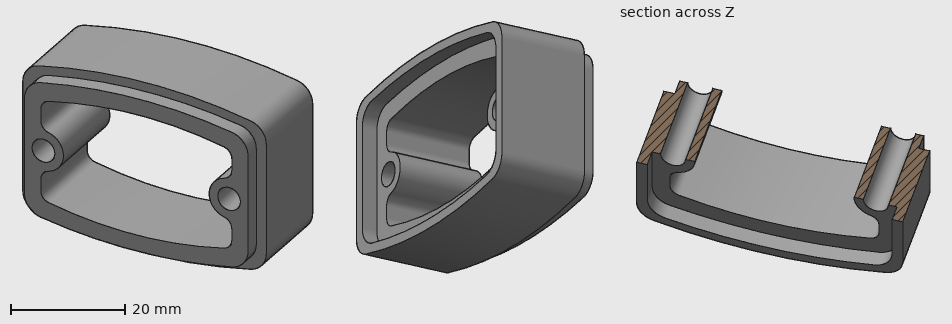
import cadquery as cq

body_width = 48.5
body_height = 33.95
body_depth = 16.98
lip_depth = 3.0
total_depth = body_depth + lip_depth
crown_radius = 101.85
corner_radius = 4.0

lip_inset = 2.0
lip_crown_inset = 1.8
window_side_inset = 5.25
window_crown_inset = 5.0
window_crown_radius = 80.5
window_corner_radius = 2.0

recess_depth = lip_depth

hole_spacing = 36.95
hole_diameter = 4.5
boss_radius = 4.0
boss_blend_radius = 2.0


def bowed_block(side_inset, crown_inset, arc_radius, edge_radius, depth):
    """Block along +Y from Y = 0: flat sides, arched top and bottom, rounded corners."""
    half_width = body_width / 2 - side_inset
    half_height = body_height / 2 - crown_inset
    sagitta = arc_radius - (arc_radius**2 - half_width**2) ** 0.5
    side_height = half_height - sagitta
    return (
        cq.Workplane("XZ")
        .moveTo(-half_width, -side_height)
        .lineTo(-half_width, side_height)
        .threePointArc((0, half_height), (half_width, side_height))
        .lineTo(half_width, -side_height)
        .threePointArc((0, -half_height), (-half_width, -side_height))
        .close()
        .extrude(-depth)
        .edges("|Y")
        .fillet(edge_radius)
    )


def screw_cylinders(radius):
    """Cylinders through the full depth at both screw positions."""
    return (
        cq.Workplane("XZ")
        .pushPoints([(-hole_spacing / 2, 0), (hole_spacing / 2, 0)])
        .circle(radius)
        .extrude(-total_depth)
    )


lip = bowed_block(lip_inset, lip_crown_inset, crown_radius, corner_radius, total_depth)
body = bowed_block(0, 0, crown_radius, corner_radius, body_depth)
body = body.translate((0, lip_depth, 0))

window = bowed_block(
    window_side_inset, window_crown_inset, window_crown_radius, window_corner_radius, total_depth
)
window = window.cut(screw_cylinders(boss_radius))
boss_zone = cq.selectors.BoxSelector(
    (-body_width, -total_depth, -boss_radius),
    (body_width, total_depth, boss_radius),
)
window = window.edges("|Y").edges(boss_zone).fillet(boss_blend_radius)

recess = bowed_block(lip_inset, lip_crown_inset, crown_radius, corner_radius, recess_depth)
recess = recess.translate((0, total_depth - recess_depth, 0))

result = body.union(lip).cut(recess).cut(window).cut(screw_cylinders(hole_diameter / 2))